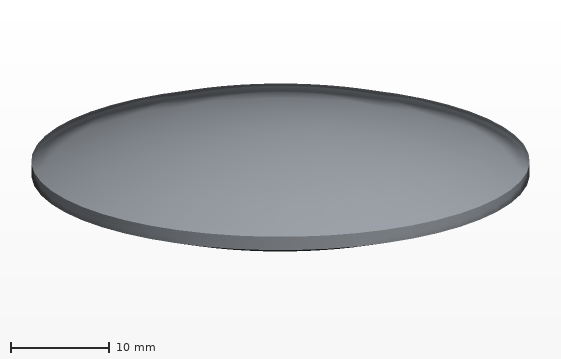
import cadquery as cq
import math

diameter = 50.8
center_thickness = 11.0
edge_thickness = 1.4

radius = diameter / 2
half_center = center_thickness / 2
half_edge = edge_thickness / 2

cap_height = half_center - half_edge
sphere_radius = (radius**2 + cap_height**2) / (2 * cap_height)
sphere_center_depth = sphere_radius - half_center

mid_radius = radius / 2
mid_height = math.sqrt(sphere_radius**2 - mid_radius**2) - sphere_center_depth

half_section = (
    cq.Workplane("XZ")
    .moveTo(0, -half_center)
    .threePointArc((mid_radius, -mid_height), (radius, -half_edge))
    .lineTo(radius, half_edge)
    .threePointArc((mid_radius, mid_height), (0, half_center))
    .close()
)

result = half_section.revolve(360, (0, 0, 0), (0, 1, 0))